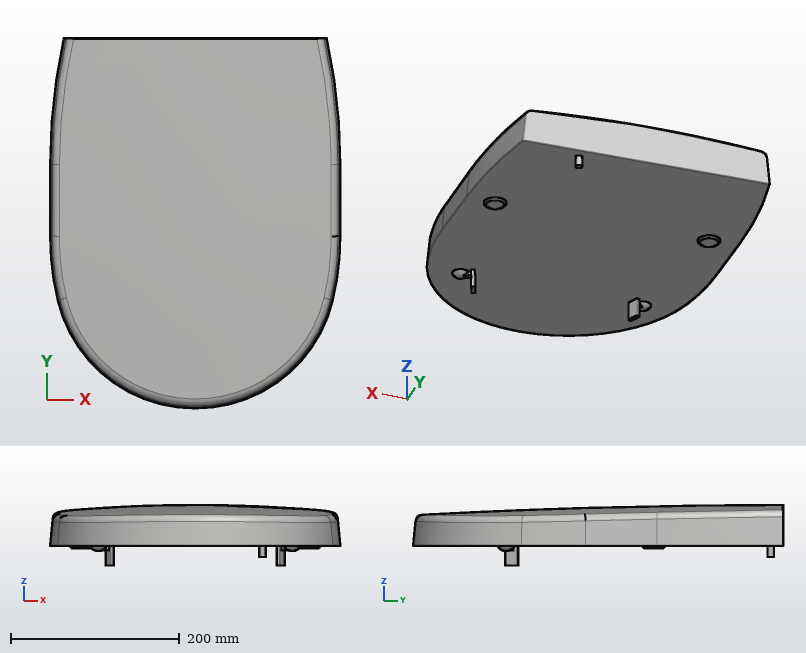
import cadquery as cq
import math


TOTAL_WIDTH = 344.5
TOTAL_LENGTH = 439.48
TOTAL_HEIGHT = 72.14

DRAFT_ANGLE = 5.5
EDGE_FILLET = 1.0

DRAFT_SLOPE = math.radians(DRAFT_ANGLE)
EDGE_LOSS = EDGE_FILLET * (math.tan(DRAFT_SLOPE) + 1 / math.cos(DRAFT_SLOPE) - 1)

LID_LENGTH = TOTAL_LENGTH + EDGE_LOSS
LID_HALF_WIDTH = TOTAL_WIDTH / 2 + EDGE_LOSS
LID_HEIGHT = 49.0
BACK_HALF_WIDTH = 156.0
SIDE_STRAIGHT_BACK = -150.0
SIDE_STRAIGHT_FRONT = -235.0
NOSE_RADIUS = 168.0
TOP_FILLET = 9.0
BLANK_HEIGHT = 55.0
BACK_OVERRUN = 40.0

CROWN_RADIUS = 1750.0
FALL_RADIUS = 7900.0
FALL_SWEEP = 10.0
CUT_HALF_WIDTH = 200.0
CUT_HEIGHT = 60.0

PAD_X = 135.0
PAD_Y = -154.0
PAD_DIAMETER = 27.0
PAD_HEIGHT = 2.7
PAD_CHAMFER = 2.5

BLADE_X = 101.5
BLADE_Y = -322.4
BLADE_LENGTH = 15.5
BLADE_THICKNESS = 4.3
BLADE_DEPTH = TOTAL_HEIGHT - LID_HEIGHT
BLADE_ANGLE = 67.0
BLADE_CORNER_FILLET = 0.5
BUFFER_X = 115.0
BUFFER_Y = -329.0
BUFFER_DIAMETER = 20.0
BUFFER_HEIGHT = 6.0
WEB_WIDTH = 6.0
WEB_HEIGHT = 5.0

PIN_X = 79.7
PIN_Y = -15.2
PIN_DIAMETER = 8.0
PIN_DEPTH = 13.0


def mirrored(point):
    return (-point[0], point[1])


def lid_outline():
    """Plan outline at the underside, with both rear curves carried on behind the back face."""
    rear_narrowing = LID_HALF_WIDTH - BACK_HALF_WIDTH
    rear_radius = (SIDE_STRAIGHT_BACK**2 + rear_narrowing**2) / (2 * rear_narrowing)
    rear_centre_x = LID_HALF_WIDTH - rear_radius

    def rear_point(y):
        rise = y - SIDE_STRAIGHT_BACK
        return (rear_centre_x + math.sqrt(rear_radius**2 - rise**2), y)

    nose_centre_y = NOSE_RADIUS - LID_LENGTH
    nose_shift = SIDE_STRAIGHT_FRONT - nose_centre_y
    nose_narrowing = LID_HALF_WIDTH - NOSE_RADIUS
    flank_radius = NOSE_RADIUS + (nose_shift**2 + nose_narrowing**2) / (2 * nose_narrowing)
    flank_centre_x = LID_HALF_WIDTH - flank_radius
    flank_angle = math.atan2(nose_shift, -flank_centre_x)

    def flank_point(angle):
        x = flank_centre_x + flank_radius * math.cos(angle)
        y = SIDE_STRAIGHT_FRONT - flank_radius * math.sin(angle)
        return (x, y)

    rear_end = rear_point(BACK_OVERRUN)
    rear_middle = rear_point((BACK_OVERRUN + SIDE_STRAIGHT_BACK) / 2)
    flank_middle = flank_point(flank_angle / 2)
    flank_end = flank_point(flank_angle)
    return (
        cq.Workplane("XY")
        .moveTo(*rear_end)
        .threePointArc(rear_middle, (LID_HALF_WIDTH, SIDE_STRAIGHT_BACK))
        .lineTo(LID_HALF_WIDTH, SIDE_STRAIGHT_FRONT)
        .threePointArc(flank_middle, flank_end)
        .threePointArc((0, -LID_LENGTH), mirrored(flank_end))
        .threePointArc(mirrored(flank_middle), (-LID_HALF_WIDTH, SIDE_STRAIGHT_FRONT))
        .lineTo(-LID_HALF_WIDTH, SIDE_STRAIGHT_BACK)
        .threePointArc(mirrored(rear_middle), mirrored(rear_end))
        .close()
    )


def space_above_top():
    """Everything above the crowned top: the crown arc turned about a far axis below."""
    crown_drop = CROWN_RADIUS - math.sqrt(CROWN_RADIUS**2 - CUT_HALF_WIDTH**2)
    crown_edge = LID_HEIGHT - crown_drop
    axis_z = LID_HEIGHT - FALL_RADIUS
    return (
        cq.Workplane("XZ")
        .moveTo(-CUT_HALF_WIDTH, crown_edge)
        .threePointArc((0, LID_HEIGHT), (CUT_HALF_WIDTH, crown_edge))
        .lineTo(CUT_HALF_WIDTH, LID_HEIGHT + CUT_HEIGHT)
        .lineTo(-CUT_HALF_WIDTH, LID_HEIGHT + CUT_HEIGHT)
        .close()
        .revolve(FALL_SWEEP, (0, axis_z), (1, axis_z))
        .rotate((0, 0, axis_z), (1, 0, axis_z), -FALL_SWEEP / 2)
    )


def rear_pad(side):
    return (
        cq.Workplane("XY")
        .center(side * PAD_X, PAD_Y)
        .circle(PAD_DIAMETER / 2)
        .extrude(-PAD_HEIGHT)
        .faces("<Z")
        .chamfer(PAD_CHAMFER)
    )


def is_top_rim(edge):
    """True for the edges where the crowned top meets the side walls and the nose."""
    is_high = edge.BoundingBox().zmin > LID_HEIGHT / 2
    is_behind_lid = edge.Center().y > 0
    return is_high and not is_behind_lid


def make_lid():
    """Drafted, crowned and rounded cover with an upright back face and two pads underneath."""
    outline = lid_outline()
    blank = outline.extrude(BLANK_HEIGHT, taper=DRAFT_ANGLE).cut(space_above_top())
    rim_edges = [edge for edge in blank.edges().vals() if is_top_rim(edge)]
    rounded = blank.newObject(rim_edges).fillet(TOP_FILLET)
    overrun = cq.Workplane("XY").box(
        2 * CUT_HALF_WIDTH, 2 * BACK_OVERRUN, 2 * BLANK_HEIGHT, centered=(True, False, True)
    )
    trimmed = rounded.cut(overrun)
    body = trimmed.faces(">Y or <Z").edges().fillet(EDGE_FILLET)
    for side in (-1, 1):
        body = body.union(rear_pad(side))
    return body


def make_guide(side):
    """Blade turned to follow the curve of the nose, joined to a domed buffer outside it."""
    blade = (
        cq.Workplane("XY")
        .rect(BLADE_LENGTH, BLADE_THICKNESS)
        .extrude(-BLADE_DEPTH)
        .edges("|Z")
        .fillet(BLADE_CORNER_FILLET)
        .rotate((0, 0, 0), (0, 0, 1), side * BLADE_ANGLE)
        .translate((side * BLADE_X, BLADE_Y, 0))
    )
    buffer_radius = BUFFER_DIAMETER / 2
    dome_radius = (buffer_radius**2 + BUFFER_HEIGHT**2) / (2 * BUFFER_HEIGHT)
    below_lid = cq.Workplane("XY").rect(BUFFER_DIAMETER, BUFFER_DIAMETER).extrude(-BUFFER_HEIGHT)
    dome = (
        cq.Workplane("XY", origin=(0, 0, dome_radius - BUFFER_HEIGHT))
        .sphere(dome_radius)
        .intersect(below_lid)
        .translate((side * BUFFER_X, BUFFER_Y, 0))
    )
    web_length = BUFFER_X - BLADE_X
    web_angle = math.degrees(math.atan2(BUFFER_Y - BLADE_Y, web_length))
    web = (
        cq.Workplane("XY")
        .box(web_length, WEB_WIDTH, WEB_HEIGHT, centered=(False, True, False))
        .rotate((0, 0, 0), (0, 0, 1), web_angle)
        .translate((BLADE_X, BLADE_Y, -WEB_HEIGHT))
    )
    if side < 0:
        web = web.mirror("YZ")
    return blade.union(dome).union(web)


def make_pin():
    return cq.Workplane("XY").center(PIN_X, PIN_Y).circle(PIN_DIAMETER / 2).extrude(-PIN_DEPTH)


lid = make_lid()
guides = [make_guide(side) for side in (-1, 1)]
pin = make_pin()

result = cq.Compound.makeCompound([lid.val(), *[guide.val() for guide in guides], pin.val()])